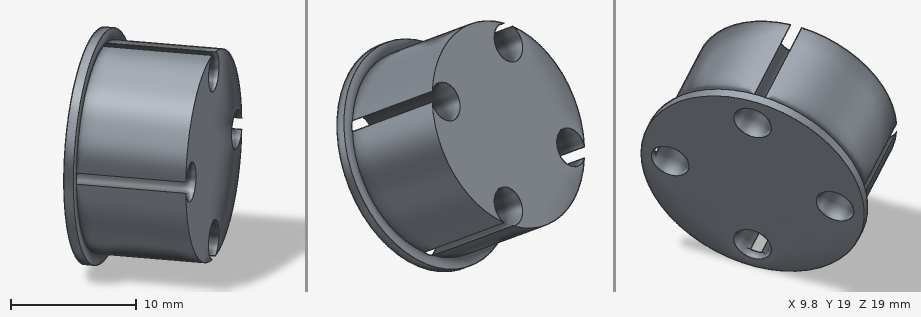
import cadquery as cq

flange_diameter = 19.0
flange_thickness = 0.8
body_diameter = 17.1
total_length = 9.8
hole_diameter = 3.2
hole_circle_radius = 7.01
hole_count = 4


def make_blank():
    """Flange with the plain cylindrical body behind it."""
    flange = cq.Workplane("YZ").circle(flange_diameter / 2).extrude(flange_thickness)
    body = cq.Workplane("YZ").circle(body_diameter / 2).extrude(total_length)
    return flange.union(body)


def make_holes():
    """Through holes that just break out of the body wall, leaving narrow slots along it."""
    return (
        cq.Workplane("YZ")
        .polarArray(hole_circle_radius, 0, 360, hole_count)
        .circle(hole_diameter / 2)
        .extrude(total_length)
    )


result = make_blank().cut(make_holes())